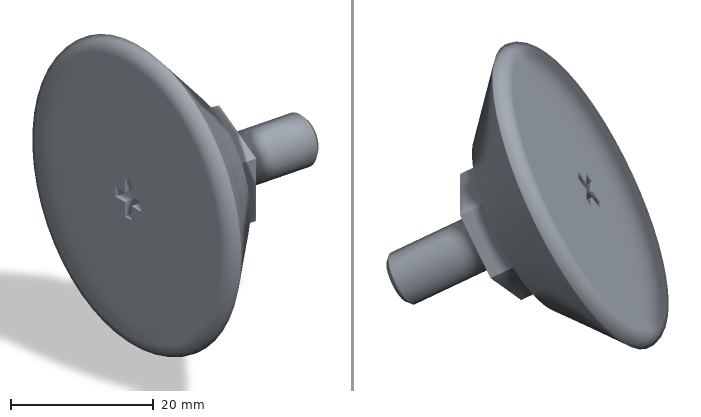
import cadquery as cq
import math

plate_radius = 47.0 / 2
plate_top_radius = 27.5 / 2
plate_height = 11.0
rim_radius = 2.0

hex_across_flats = 17.0
hex_height = 5.0

stud_diameter = 8.0
stud_length = 15.0
stud_chamfer = 0.767

cross_span = 6.0
cross_arm_width = 1.5
cross_depth = 3.0


def plane_at(height):
    """Workplane across the part axis; a negative extrusion grows toward +Y."""
    return cq.Workplane("XZ", origin=(0, height, 0))


def foot_plate():
    """Revolved plate with a quarter-round rim and a conical flank."""
    rim_mid_offset = rim_radius * math.sin(math.radians(45))
    rim_center_radius = plate_radius - rim_radius
    return (
        cq.Workplane("XY")
        .lineTo(rim_center_radius, 0)
        .threePointArc(
            (rim_center_radius + rim_mid_offset, rim_radius - rim_mid_offset),
            (plate_radius, rim_radius),
        )
        .lineTo(plate_top_radius, plate_height)
        .lineTo(0, plate_height)
        .close()
        .revolve(360, (0, 0, 0), (0, 1, 0))
    )


def hexagon():
    """Hexagon on the plate, with flats facing +X and -X."""
    across_corners = hex_across_flats / math.cos(math.radians(30))
    return (
        plane_at(plate_height)
        .transformed(rotate=(0, 0, 90))
        .polygon(6, across_corners)
        .extrude(-hex_height)
    )


def stud():
    """Round stud on the hexagon, chamfered at its free end."""
    return (
        plane_at(plate_height + hex_height)
        .circle(stud_diameter / 2)
        .extrude(-stud_length)
        .faces(">Y")
        .chamfer(stud_chamfer)
    )


def cross_recess():
    """Two crossed slots sunk from the standing face."""
    slot_along_x = plane_at(0).rect(cross_span, cross_arm_width).extrude(-cross_depth)
    slot_along_z = plane_at(0).rect(cross_arm_width, cross_span).extrude(-cross_depth)
    return slot_along_x.union(slot_along_z)


result = foot_plate().union(hexagon()).union(stud()).cut(cross_recess())